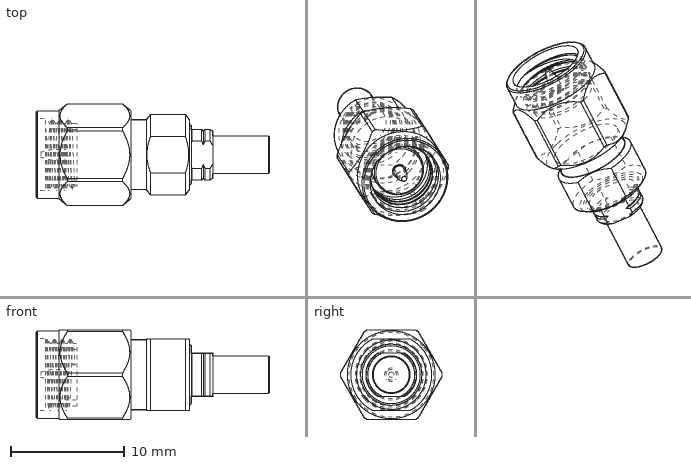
import cadquery as cq
import math


NUT_COLLAR_DIAMETER = 7.76
NUT_COLLAR_LENGTH = 2.0
NUT_RIM_CHAMFER = 0.13
NUT_ACROSS_FLATS = 7.94
NUT_CORNER_DIAMETER = 8.99
NUT_CORNER_CHAMFER = 0.75
NUT_END = 8.38

THREAD_MAJOR_DIAMETER = 6.35
THREAD_MINOR_DIAMETER = 5.55
THREAD_PITCH = 25.4 / 36
THREAD_FLANK_ANGLE = 30
ENTRY_BORE_DEPTH = 0.82
ENTRY_CONE_LENGTH = 0.45
THREAD_START = 0.56
THREAD_RUNOUT = 0.15
SOCKET_DEPTH = 3.6
ENTRY_CLEARANCE = 0.01

BOSS_DIAMETER = 4.45
BOSS_CHAMFER = 0.12
BOSS_FACE = 2.5
PIN_RECESS_DIAMETER = 1.19
PIN_RECESS_DEPTH = 0.1
PIN_DIAMETER = 0.94
PIN_TIP_DIAMETER = 0.46
PIN_TIP = 0.45
PIN_SHOULDER = 1.35

NECK_DIAMETER = 6.19
BODY_START = 9.76
BODY_END = 13.56
BODY_DIAMETER = 7.13
BODY_ACROSS_FLATS = 6.35
BODY_FRONT_CHAMFER_LENGTH = 0.35
BODY_FRONT_CHAMFER_HEIGHT = 0.41
BODY_REAR_CHAMFER_LENGTH = 0.39
BODY_REAR_CHAMFER_HEIGHT = 0.5
SHOULDER_DIAMETER = 5.4
SHOULDER_CHAMFER = 0.14

COLLAR_START = BODY_END + SHOULDER_CHAMFER
COLLAR_END = 15.6
COLLAR_DIAMETER = 4.5
COLLAR_ACROSS_FLATS = 3.81
COLLAR_FRONT_CHAMFER = 0.06
COLLAR_REAR_CHAMFER_LENGTH = 0.25
COLLAR_REAR_CHAMFER_HEIGHT = 0.18
GROOVE_CENTER = 14.76
GROOVE_WIDTH = 0.3
GROOVE_DEPTH = 0.15

TUBE_DIAMETER = 3.32
TUBE_CHAMFER = 0.07
TOTAL_LENGTH = 20.59


def turned(profile):
    """Revolve (x, radius) points, closed along the axis, about the X axis."""
    points = [(profile[0][0], 0)] + profile + [(profile[-1][0], 0)]
    return cq.Workplane("XY").polyline(points).close().revolve(360, (0, 0, 0), (1, 0, 0))


def rod(start, end, diameter):
    return turned([(start, diameter / 2), (end, diameter / 2)])


def flatted(solid, across_flats):
    """Trim a turned solid to two flats facing +Z and -Z."""
    slab = cq.Workplane("XY").box(2 * TOTAL_LENGTH, 2 * NUT_CORNER_DIAMETER, across_flats)
    return solid.intersect(slab)


def make_nut():
    collar_radius = NUT_COLLAR_DIAMETER / 2
    corner_radius = NUT_CORNER_DIAMETER / 2
    collar = turned([
        (0, collar_radius - NUT_RIM_CHAMFER),
        (NUT_RIM_CHAMFER, collar_radius),
        (NUT_COLLAR_LENGTH, collar_radius),
    ])
    envelope = turned([
        (NUT_COLLAR_LENGTH, collar_radius),
        (NUT_COLLAR_LENGTH + NUT_CORNER_CHAMFER, corner_radius),
        (NUT_END - NUT_CORNER_CHAMFER, corner_radius),
        (NUT_END, collar_radius),
    ])
    across_corners = NUT_ACROSS_FLATS / math.cos(math.radians(30))
    hexagon = (
        cq.Workplane("YZ", origin=(NUT_COLLAR_LENGTH, 0, 0))
        .polygon(6, across_corners)
        .extrude(NUT_END - NUT_COLLAR_LENGTH)
    )
    return collar.union(hexagon.intersect(envelope))


def make_thread_cutter():
    """Helical V groove, cut outward from the minor bore to the major diameter."""
    minor_radius = THREAD_MINOR_DIAMETER / 2
    major_radius = THREAD_MAJOR_DIAMETER / 2
    overlap = 0.05
    root_half_width = 0.02
    inner_radius = minor_radius - overlap
    slope = math.tan(math.radians(THREAD_FLANK_ANGLE))
    inner_half_width = root_half_width + slope * (major_radius - inner_radius)
    length = SOCKET_DEPTH - THREAD_RUNOUT - inner_half_width - THREAD_START
    helix = cq.Wire.makeHelix(THREAD_PITCH, length, minor_radius)
    cutter = (
        cq.Workplane("XZ")
        .polyline([
            (inner_radius, -inner_half_width),
            (major_radius, -root_half_width),
            (major_radius, root_half_width),
            (inner_radius, inner_half_width),
        ])
        .close()
        .sweep(cq.Workplane(obj=helix), isFrenet=True)
    )
    return cutter.rotate((0, 0, 0), (0, 1, 0), 90).translate((THREAD_START, 0, 0))


def cut_socket(part):
    part = part.cut(rod(0, SOCKET_DEPTH, THREAD_MINOR_DIAMETER))
    part = part.cut(make_thread_cutter())
    entry_radius = (THREAD_MAJOR_DIAMETER + ENTRY_CLEARANCE) / 2
    entry = turned([
        (0, entry_radius),
        (ENTRY_BORE_DEPTH, entry_radius),
        (ENTRY_BORE_DEPTH + ENTRY_CONE_LENGTH, THREAD_MINOR_DIAMETER / 2),
    ])
    return part.cut(entry)


def make_contact():
    boss_radius = BOSS_DIAMETER / 2
    boss = turned([
        (BOSS_FACE, boss_radius - BOSS_CHAMFER),
        (BOSS_FACE + BOSS_CHAMFER, boss_radius),
        (SOCKET_DEPTH, boss_radius),
    ])
    recess_floor = BOSS_FACE + PIN_RECESS_DEPTH
    recess = rod(BOSS_FACE, recess_floor, PIN_RECESS_DIAMETER)
    pin = turned([
        (PIN_TIP, PIN_TIP_DIAMETER / 2),
        (PIN_SHOULDER, PIN_DIAMETER / 2),
        (recess_floor, PIN_DIAMETER / 2),
    ])
    return boss.cut(recess).union(pin)


def make_rear_body():
    radius = BODY_DIAMETER / 2
    body = turned([
        (BODY_START, radius - BODY_FRONT_CHAMFER_HEIGHT),
        (BODY_START + BODY_FRONT_CHAMFER_LENGTH, radius),
        (BODY_END - BODY_REAR_CHAMFER_LENGTH, radius),
        (BODY_END, radius - BODY_REAR_CHAMFER_HEIGHT),
    ])
    shoulder = turned([
        (BODY_END, SHOULDER_DIAMETER / 2),
        (COLLAR_START, SHOULDER_DIAMETER / 2 - SHOULDER_CHAMFER),
    ])
    return flatted(body, BODY_ACROSS_FLATS).union(shoulder)


def make_crimp_collar():
    radius = COLLAR_DIAMETER / 2
    collar = turned([
        (COLLAR_START, radius - COLLAR_FRONT_CHAMFER),
        (COLLAR_START + COLLAR_FRONT_CHAMFER, radius),
        (GROOVE_CENTER - GROOVE_WIDTH / 2, radius),
        (GROOVE_CENTER, radius - GROOVE_DEPTH),
        (GROOVE_CENTER + GROOVE_WIDTH / 2, radius),
        (COLLAR_END - COLLAR_REAR_CHAMFER_LENGTH, radius),
        (COLLAR_END, radius - COLLAR_REAR_CHAMFER_HEIGHT),
    ])
    return flatted(collar, COLLAR_ACROSS_FLATS)


def make_tube():
    radius = TUBE_DIAMETER / 2
    return turned([
        (COLLAR_END, radius),
        (TOTAL_LENGTH - TUBE_CHAMFER, radius),
        (TOTAL_LENGTH, radius - TUBE_CHAMFER),
    ])


result = (
    cut_socket(make_nut())
    .union(make_contact())
    .union(rod(NUT_END, BODY_START, NECK_DIAMETER))
    .union(make_rear_body())
    .union(make_crimp_collar())
    .union(make_tube())
)